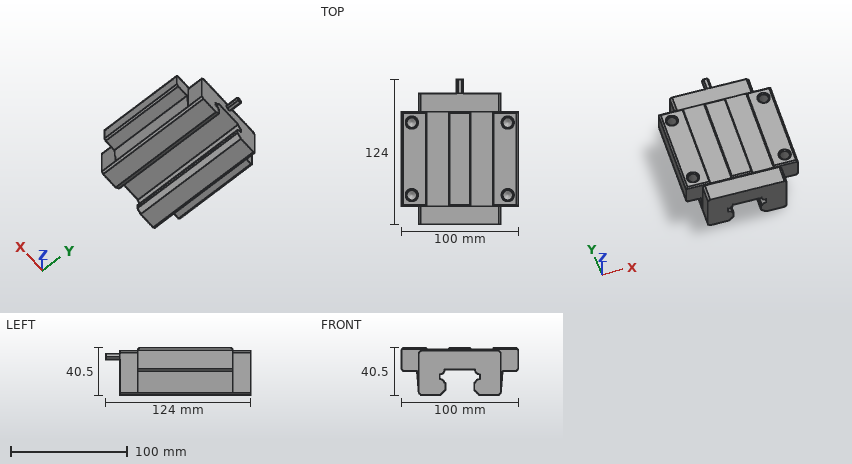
import cadquery as cq
import math


carriage_width = 100.0
carriage_height = 40.5
carriage_length = 81.0
end_cap_length = 15.5

flange_underside_z = 20.5
flange_chamfer_width = 1.6
flange_chamfer_height = 2.0
leg_half_width_top = 36.75
leg_half_width_bottom = 35.2
foot_chamfer = 2.0

pad_height = 1.2
pad_bevel = 0.8
pad_end_bevel = 1.3
middle_pad_width = 19.0
side_pad_inner_x = 28.2

cap_width = 70.4
cap_height = 38.0
cap_chamfer = 2.0

opening_top_z = 21.75
bulge_radius = 4.15
bulge_center_x = 17.1
lower_bulge_center_z = 9.6
lip_half_width = 12.2
lip_top_z = 10.3
lip_chamfer = 4.45
bulge_end_angle = math.radians(15)

hole_spacing_x = 82.0
hole_spacing_y = 62.0
hole_diameter = 8.65
hole_mouth_diameter = 10.8
hole_depth = 14.0
drill_point_angle = 118.0

nipple_across_corners = 6.0
nipple_length = 12.0
nipple_center_z = 32.9

half_width = carriage_width / 2
half_length = carriage_length / 2
deck_z = carriage_height - pad_height
cap_end_y = half_length + end_cap_length
flange_top_z = carriage_height - flange_chamfer_height
pad_outer_bevel = flange_chamfer_width * pad_height / flange_chamfer_height
deck_half_width = half_width - flange_chamfer_width + pad_outer_bevel


def mirrored_outline(right_side):
    """Close a right-hand chain of points with its mirror image across X = 0."""
    left_side = [(-x, z) for x, z in reversed(right_side)]
    return right_side + left_side


def extrude_along_y(points, start_y, length):
    """Extrude an XZ outline towards +Y from start_y."""
    plane = cq.Workplane("XZ", origin=(0, start_y, 0))
    return plane.polyline(points).close().extrude(-length)


def carriage_body():
    right_side = [
        (leg_half_width_bottom - foot_chamfer, 0),
        (leg_half_width_bottom, foot_chamfer),
        (leg_half_width_top, flange_underside_z),
        (half_width - flange_chamfer_width, flange_underside_z),
        (half_width, flange_underside_z + flange_chamfer_height),
        (half_width, flange_top_z),
        (deck_half_width, deck_z),
    ]
    return extrude_along_y(mirrored_outline(right_side), -half_length, carriage_length)


def mounting_pad(left_x, right_x, left_bevel, right_bevel):
    """Raised pad with sloping sides and ends."""
    base = cq.Workplane("XY", origin=((left_x + right_x) / 2, 0, deck_z))
    base = base.rect(right_x - left_x, carriage_length)
    shift = (left_bevel - right_bevel) / 2
    top_width = right_x - left_x - left_bevel - right_bevel
    top_length = carriage_length - 2 * pad_end_bevel
    return (
        base.workplane(offset=pad_height)
        .center(shift, 0)
        .rect(top_width, top_length)
        .loft(ruled=True)
    )


def end_cap(start_y):
    half_cap = cap_width / 2
    right_side = [
        (half_cap - cap_chamfer, 0),
        (half_cap, cap_chamfer),
        (half_cap, cap_height - cap_chamfer),
        (half_cap - cap_chamfer, cap_height),
    ]
    return extrude_along_y(mirrored_outline(right_side), start_y, end_cap_length)


def bulge_point(center_z, angle):
    """Point on the inward-facing side of the right-hand rail bulge."""
    x = bulge_center_x - bulge_radius * math.cos(angle)
    return x, center_z + bulge_radius * math.sin(angle)


def rail_opening():
    quarter = math.pi / 2
    lower_middle_angle = (quarter + bulge_end_angle) / 2
    upper_end = bulge_point(opening_top_z, 0)
    half_section = (
        cq.Workplane("XZ", origin=(0, -cap_end_y, 0))
        .lineTo(lip_half_width + lip_chamfer, 0)
        .lineTo(lip_half_width, lip_chamfer)
        .lineTo(lip_half_width, lip_top_z)
        .lineTo(*bulge_point(lower_bulge_center_z, bulge_end_angle))
        .threePointArc(
            bulge_point(lower_bulge_center_z, lower_middle_angle),
            bulge_point(lower_bulge_center_z, quarter),
        )
        .lineTo(bulge_center_x, opening_top_z - bulge_radius)
        .threePointArc(bulge_point(opening_top_z, -quarter / 2), upper_end)
        .lineTo(0, opening_top_z)
        .close()
        .extrude(-2 * cap_end_y)
    )
    return half_section.union(half_section.mirror("YZ"))


def mounting_hole():
    """Countersunk blind hole with a conical drill point, revolved about Z."""
    radius = hole_diameter / 2
    mouth_radius = hole_mouth_diameter / 2
    floor_z = carriage_height - hole_depth
    tip_z = floor_z - radius / math.tan(math.radians(drill_point_angle / 2))
    return (
        cq.Workplane("XZ")
        .moveTo(0, carriage_height)
        .lineTo(mouth_radius, carriage_height)
        .lineTo(radius, carriage_height - (mouth_radius - radius))
        .lineTo(radius, floor_z)
        .lineTo(0, tip_z)
        .close()
        .revolve()
    )


def grease_nipple():
    plane = cq.Workplane("XZ", origin=(0, cap_end_y, nipple_center_z))
    return plane.polygon(6, nipple_across_corners).extrude(-nipple_length)


result = carriage_body()
result = result.union(mounting_pad(-middle_pad_width / 2, middle_pad_width / 2, pad_bevel, pad_bevel))
result = result.union(mounting_pad(side_pad_inner_x, deck_half_width, pad_bevel, pad_outer_bevel))
result = result.union(mounting_pad(-deck_half_width, -side_pad_inner_x, pad_outer_bevel, pad_bevel))
for cap_start_y in (-cap_end_y, half_length):
    result = result.union(end_cap(cap_start_y))
result = result.union(grease_nipple())
result = result.cut(rail_opening())

hole = mounting_hole()
for x in (-hole_spacing_x / 2, hole_spacing_x / 2):
    for y in (-hole_spacing_y / 2, hole_spacing_y / 2):
        result = result.cut(hole.translate((x, y, 0)))